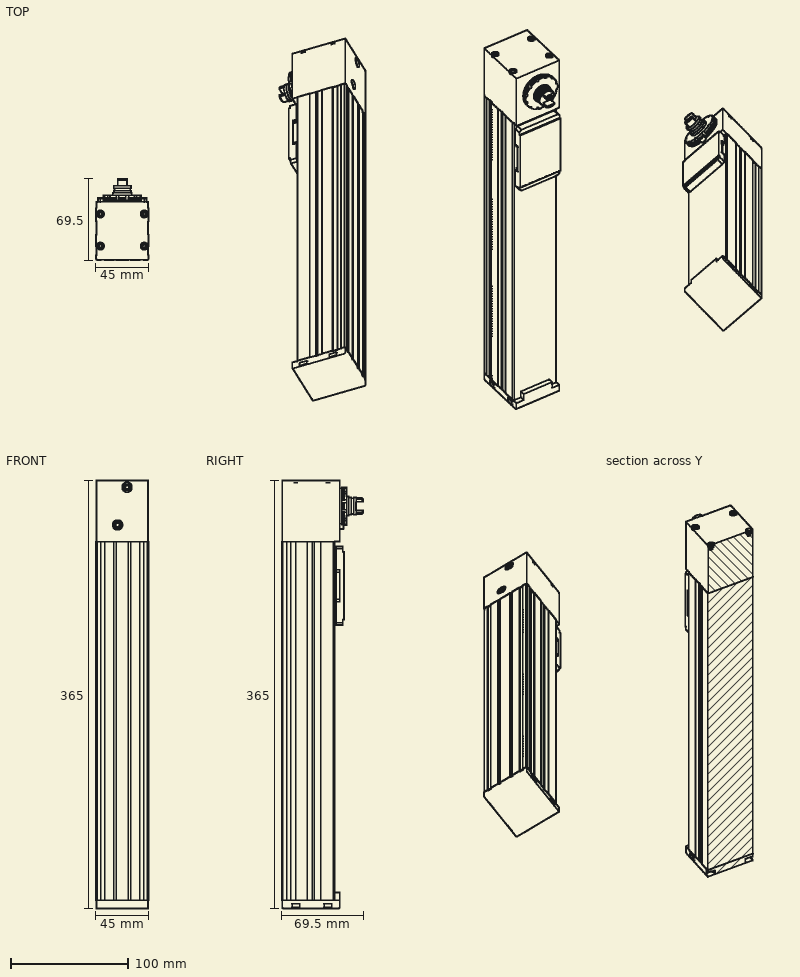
import cadquery as cq
import math


total_height = 365.0
coupling_tip_y = 69.5
head_width = 44.0
head_front_y = 0.5
head_back_y = 49.5
head_bottom_z = 312.8
cap_height = 7.3

profile_width = 45.0
profile_depth = 45.3
profile_edge_chamfer = 1.0
groove_depth = 1.0
shallow_depth = 0.55
front_grooves = [(5.0, 7.3), (15.0, 18.2)]
side_groove = (7.5, 12.0)
side_step = (4.5, 7.5)
side_channel = (22.0, 33.2)
side_mark_y = 27.0
side_mark_width = 1.5

screw_ys = (12.0, 39.5)

head_screw_x = 18.5
head_bore_steps = [(6.2, 2.0), (4.5, 3.5), (2.5, 5.5)]
axis_z = 343.0
access_offset_x = 4.0
access_offset_z = 16.0
access_bore_steps = [(8.5, 2.0), (5.5, 3.5), (3.25, 5.5)]

cap_width = 44.0
cap_front_y = 0.5
cap_corner_radius = 1.5
pocket_x = 19.5
pocket_diameter = 8.5
pocket_floor_z = 1.0
pocket_top_z = 4.5
stop_width = 29.2
stop_height = 14.0

carriage_width = 41.5
carriage_bottom_y = 46.5
carriage_top_y = 53.3
carriage_bottom_z = 246.5
carriage_top_z = 304.0
wiper_top_y = 52.2
wiper_length = 4.7
wiper_chamfer = 2.2
slider_width = 33.0
relief_length = 27.0
relief_top_y = 49.5
relief_depth = 2.0
relief_step = 2.0

boss_diameter = 30.5
boss_end_y = 51.0
flange_diameter = 32.5
flange_end_y = 55.5
flange_groove_y = 53.0
flange_groove_width = 0.7
collar_diameter = 16.5
collar_end_y = 57.3
hub_diameter = 15.0
hub_end_y = 63.5
hub_groove_y = 60.2
hub_groove_width = 2.2
ring_groove_depth = 0.7
jaw_diameter = 14.0
jaw_width = 8.0
jaw_gap = 7.3
jaw_chamfer = 1.0
notch_count = 12
notch_diameter = 2.5
lug_diameter = 5.5
lug_drop = 16.8
lug_end_y = 53.0


def block(x_range, y_range, z_range):
    """Axis-aligned box between the given limits."""
    size = [high - low for low, high in (x_range, y_range, z_range)]
    corner = (x_range[0], y_range[0], z_range[0])
    return cq.Workplane("XY").box(*size, centered=False).translate(corner)


def centred_block(width, y_range, z_range):
    """Box that is symmetric about the YZ plane."""
    return block((-width / 2, width / 2), y_range, z_range)


def y_cylinder(diameter, start_y, end_y, x=0.0, z=axis_z):
    """Cylinder whose axis is parallel to Y."""
    return (
        cq.Workplane("XZ", origin=(x, start_y, z))
        .circle(diameter / 2)
        .extrude(start_y - end_y)
    )


def z_cylinder(diameter, start_z, end_z, x, y):
    """Cylinder whose axis is parallel to Z."""
    return (
        cq.Workplane("XY", origin=(x, y, start_z))
        .circle(diameter / 2)
        .extrude(end_z - start_z)
    )


def make_profile():
    """Extruded guide profile with grooves along its front and both sides."""
    z_range = (cap_height, head_bottom_z)
    half = profile_width / 2
    profile = centred_block(profile_width, (0, profile_depth), z_range)
    profile = profile.edges("|Z").chamfer(profile_edge_chamfer)
    side_cuts = [
        (side_groove, groove_depth),
        (side_step, shallow_depth),
        (side_channel, shallow_depth),
        ((side_mark_y - side_mark_width / 2, side_mark_y + side_mark_width / 2), groove_depth),
    ]
    for side in (-1, 1):
        for near, far in front_grooves:
            x_range = sorted((side * near, side * far))
            profile = profile.cut(block(x_range, (0, groove_depth), z_range))
        for y_range, depth in side_cuts:
            x_range = sorted((side * half, side * (half - depth)))
            profile = profile.cut(block(x_range, y_range, z_range))
    return profile


def make_head():
    """Drive head with four stepped screw bores on top and two stepped access bores in the front."""
    head = centred_block(head_width, (head_front_y, head_back_y), (head_bottom_z, total_height))
    for x in (-head_screw_x, head_screw_x):
        for y in screw_ys:
            for diameter, depth in head_bore_steps:
                head = head.cut(z_cylinder(diameter, total_height - depth, total_height, x, y))
    for side in (-1, 1):
        x = side * access_offset_x
        z = axis_z + side * access_offset_z
        for diameter, depth in access_bore_steps:
            head = head.cut(y_cylinder(diameter, head_front_y, head_front_y + depth, x, z))
    return head


def make_end_cap():
    """End cap with a raised stop behind the profile and screw pockets that open through its sides."""
    plate = centred_block(cap_width, (cap_front_y, head_back_y), (0, cap_height))
    stop = centred_block(stop_width, (profile_depth, head_back_y), (0, stop_height))
    cap = plate.union(stop).edges("|X and <Z").fillet(cap_corner_radius)
    for x in (-pocket_x, pocket_x):
        for y in screw_ys:
            cap = cap.cut(z_cylinder(pocket_diameter, pocket_floor_z, pocket_top_z, x, y))
    return cap


def make_carriage():
    """Carriage plate on a narrower slider, with chamfered wipers and stepped side reliefs."""
    carriage = centred_block(
        carriage_width, (carriage_bottom_y, carriage_top_y), (carriage_bottom_z, carriage_top_z)
    )
    wipers = centred_block(
        carriage_width,
        (carriage_bottom_y, wiper_top_y),
        (carriage_bottom_z - wiper_length, carriage_top_z + wiper_length),
    )
    carriage = carriage.union(wipers.edges("|Y").chamfer(wiper_chamfer))
    slider = centred_block(
        slider_width, (profile_depth, carriage_bottom_y), (carriage_bottom_z, carriage_top_z)
    )
    carriage = carriage.union(slider)
    middle_z = (carriage_bottom_z + carriage_top_z) / 2
    half = carriage_width / 2
    for side in (-1, 1):
        for shorter, depth in ((0, relief_depth / 2), (relief_step, relief_depth)):
            x_range = sorted((side * half, side * (half - depth)))
            reach = relief_length / 2 - shorter
            z_range = (middle_z - reach, middle_z + reach)
            carriage = carriage.cut(block(x_range, (carriage_bottom_y, relief_top_y), z_range))
    return carriage


def ring_groove(diameter, middle_y, width):
    """Ring that cuts a shallow groove round a cylinder on the drive axis."""
    start_y = middle_y - width / 2
    end_y = middle_y + width / 2
    outer = y_cylinder(diameter + 2 * ring_groove_depth, start_y, end_y)
    return outer.cut(y_cylinder(diameter - 2 * ring_groove_depth, start_y, end_y))


def make_coupling():
    """Drive coupling: notched flange with a lug, grooved hub and two jaws."""
    flange = y_cylinder(flange_diameter, boss_end_y, flange_end_y)
    for i in range(notch_count):
        angle = 2 * math.pi * (i + 0.5) / notch_count
        x = flange_diameter / 2 * math.cos(angle)
        z = axis_z + flange_diameter / 2 * math.sin(angle)
        flange = flange.cut(y_cylinder(notch_diameter, boss_end_y, flange_end_y, x, z))
    flange = flange.cut(ring_groove(flange_diameter, flange_groove_y, flange_groove_width))
    boss = y_cylinder(boss_diameter, head_back_y, boss_end_y)
    lug = y_cylinder(lug_diameter, head_back_y, lug_end_y, 0, axis_z - lug_drop)
    collar = y_cylinder(collar_diameter, flange_end_y, collar_end_y)
    hub = y_cylinder(hub_diameter, collar_end_y, hub_end_y)
    hub = hub.cut(ring_groove(hub_diameter, hub_groove_y, hub_groove_width))
    jaws = y_cylinder(jaw_diameter, hub_end_y, coupling_tip_y).faces(">Y").chamfer(jaw_chamfer)
    jaw_range = (hub_end_y, coupling_tip_y)
    reach = jaw_diameter / 2
    jaws = jaws.intersect(centred_block(jaw_width, jaw_range, (axis_z - reach, axis_z + reach)))
    jaws = jaws.cut(
        centred_block(jaw_diameter, jaw_range, (axis_z - jaw_gap / 2, axis_z + jaw_gap / 2))
    )
    return boss.union(flange).union(lug).union(collar).union(hub).union(jaws)


profile = make_profile()
head = make_head()
end_cap = make_end_cap()
carriage = make_carriage()
coupling = make_coupling()

result = cq.Compound.makeCompound(
    [profile.val(), head.val(), end_cap.val(), carriage.val(), coupling.val()]
)